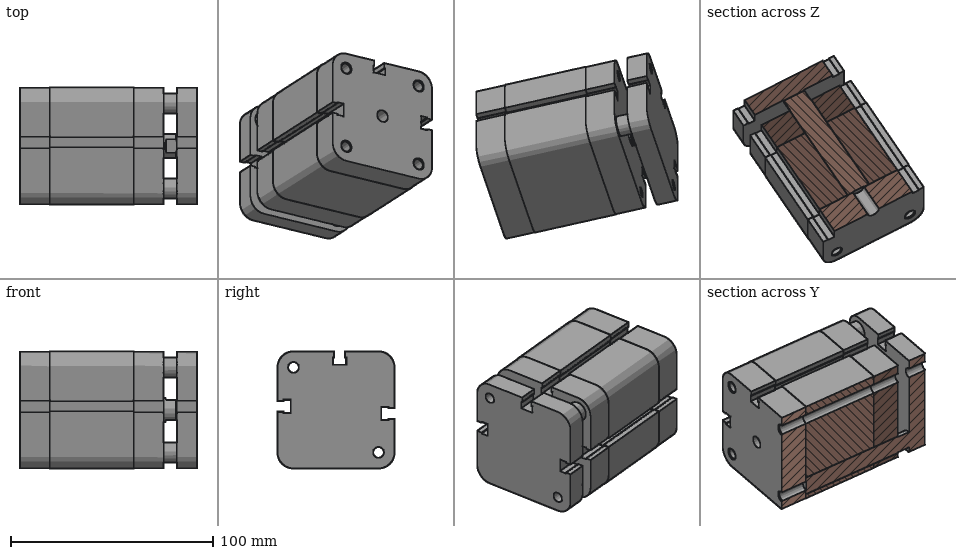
import cadquery as cq

cap_length = 14.8
barrel_length = 41.4
rod_reach = 6.5
plate_thickness = 10.0

barrel_width = 58.0
cap_inset = 0.15
cap_width = barrel_width - 2 * cap_inset
corner_offset = 21.0

slot_offset = 1.8
slot_floor = 22.4
slot_shoulder = 25.75
barrel_mouth_width = 5.1
barrel_undercut_width = 6.2
cap_slot_clearance = 0.3
slot_angles = (90, 0, 180)

screw_hole_diameter = 5.2
screw_chamfer = 0.45
chamfer_angle = 45
port_diameter = 6.2
guide_diameter = 10.0
rod_diameter = 12.0
rod_end_chamfer = 0.5
rod_flat_width = 10.0
flat_start = 1.3
flat_bevel_run = 0.5

barrel_start = cap_length
front_cap_start = barrel_start + barrel_length
front_cap_end = front_cap_start + cap_length
plate_start = front_cap_end + rod_reach

guide_centres = [(corner_offset, corner_offset), (-corner_offset, -corner_offset)]
open_centres = [(-corner_offset, corner_offset), (corner_offset, -corner_offset)]


def cylinder(start, length, diameter, centres):
    """Cylinders along X at the given (Y, Z) centres."""
    plane = cq.Workplane("YZ", origin=(start, 0, 0))
    return plane.pushPoints(centres).circle(diameter / 2).extrude(length)


def slot_cutter(start, length, clearance):
    """The three T-slots as one cutting tool."""
    mouth_half = barrel_mouth_width / 2 + clearance
    undercut_half = barrel_undercut_width / 2 + clearance
    shoulder = slot_shoulder + clearance
    outside = barrel_width
    profile = [
        (slot_floor, -undercut_half),
        (shoulder, -undercut_half),
        (shoulder, -mouth_half),
        (outside, -mouth_half),
        (outside, mouth_half),
        (shoulder, mouth_half),
        (shoulder, undercut_half),
        (slot_floor, undercut_half),
    ]
    slot = (
        cq.Workplane("YZ", origin=(start, 0, 0))
        .polyline(profile)
        .close()
        .extrude(length)
        .translate((0, 0, -slot_offset))
    )
    cutter = cq.Workplane("YZ")
    for angle in slot_angles:
        cutter = cutter.add(slot.rotate((0, 0, 0), (1, 0, 0), angle))
    return cutter.combine()


def slotted_block(start, length, width, slot_clearance):
    """Square block with rounded edges, T-slots and the two open corner holes."""
    return (
        cq.Workplane("YZ", origin=(start, 0, 0))
        .rect(width, width)
        .extrude(length)
        .edges("|X")
        .fillet(width / 2 - corner_offset)
        .cut(slot_cutter(start, length, slot_clearance))
        .cut(cylinder(start, length, screw_hole_diameter, open_centres))
    )


def make_rear_cap():
    """Rear cap with four chamfered screw holes and the central port."""
    screw_centres = guide_centres + open_centres
    mouth_diameter = screw_hole_diameter + 2 * screw_chamfer
    chamfers = (
        cq.Workplane("YZ")
        .pushPoints(screw_centres)
        .circle(mouth_diameter / 2)
        .extrude(screw_chamfer, taper=chamfer_angle)
    )
    return (
        slotted_block(0, cap_length, cap_width, cap_slot_clearance)
        .cut(cylinder(0, cap_length, screw_hole_diameter, guide_centres))
        .cut(chamfers)
        .cut(cylinder(0, cap_length, port_diameter, [(0, 0)]))
    )


def cut_rod_bores(block, start, length):
    """Bores for the piston rod and the two guide rods."""
    return block.cut(cylinder(start, length, rod_diameter, [(0, 0)])).cut(
        cylinder(start, length, guide_diameter, guide_centres)
    )


def make_barrel():
    block = slotted_block(barrel_start, barrel_length, barrel_width, 0)
    return cut_rod_bores(block, barrel_start, barrel_length)


def make_front_cap():
    block = slotted_block(front_cap_start, cap_length, cap_width, cap_slot_clearance)
    return cut_rod_bores(block, front_cap_start, cap_length)


def make_piston_rod():
    """Piston rod with a chamfered end and two bevelled wrench flats."""
    rod = cylinder(barrel_start, plate_start - barrel_start, rod_diameter, [(0, 0)])
    rod = rod.faces(">X").chamfer(rod_end_chamfer)
    flat_height = rod_flat_width / 2
    flat_x = front_cap_end + flat_start
    flat_cutter = (
        cq.Workplane("XZ")
        .moveTo(flat_x, flat_height)
        .lineTo(plate_start, flat_height)
        .lineTo(plate_start, rod_diameter / 2)
        .lineTo(flat_x - flat_bevel_run, rod_diameter / 2)
        .close()
        .extrude(rod_diameter / 2, both=True)
    )
    return rod.cut(flat_cutter).cut(flat_cutter.mirror("XY"))


def make_yoke():
    """Yoke plate carrying the two guide rods."""
    plate = slotted_block(plate_start, plate_thickness, cap_width, cap_slot_clearance)
    guide_length = plate_start - barrel_start
    return plate.union(cylinder(barrel_start, guide_length, guide_diameter, guide_centres))


rear_cap = make_rear_cap()
barrel = make_barrel()
front_cap = make_front_cap()
piston_rod = make_piston_rod()
yoke = make_yoke()

result = cq.Compound.makeCompound(
    [rear_cap.val(), barrel.val(), front_cap.val(), piston_rod.val(), yoke.val()]
)